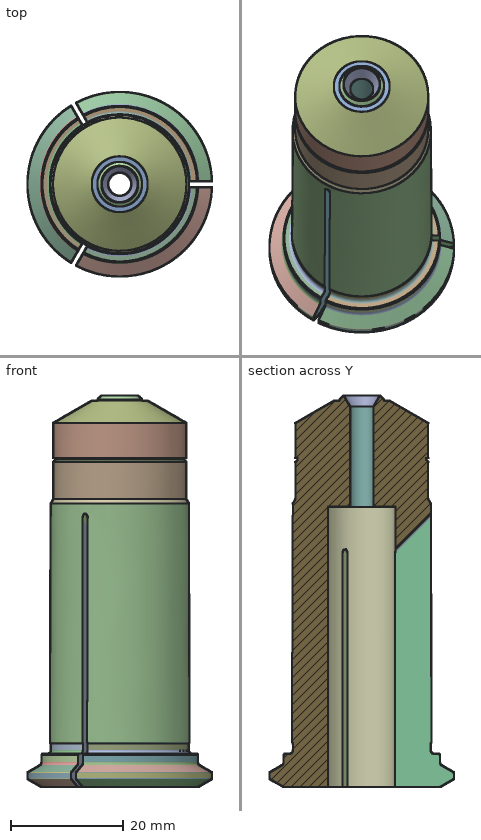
import cadquery as cq
import math

total_height = 69.9
flange_radius = 33.0 / 2

cone_angle = math.radians(30)
flange_base_radius = 14.05
rim_bottom_z = (flange_radius - flange_base_radius) * math.tan(cone_angle)
rim_height = 1.2
rim_top_z = rim_bottom_z + rim_height
rim_fillet = 0.2

collar_radius = 14.0
collar_bottom_z = rim_top_z + (flange_radius - collar_radius) * math.tan(cone_angle)
collar_top_z = 5.95
collar_bottom_fillet = 0.6
collar_top_chamfer = 0.2

neck_radius = 12.35
neck_fillet = 0.6
neck_top_z = 7.75

body_bottom_z = 8.0
body_bottom_radius = 12.5
body_bottom_fillet = 0.12
body_top_z = 50.6
body_top_radius = 12.37

head_radius = 23.8 / 2
head_bottom_z = 51.4
groove_bottom_z = 58.05
groove_top_z = 58.7
groove_depth = 0.4
head_shoulder_z = 65.0
head_top_radius = 5.0
head_top_z = head_shoulder_z + (head_radius - head_top_radius) * math.tan(cone_angle)

nose_radius = 8.0 / 2
nose_chamfer = 0.7

bore_radius = 12.0 / 2
bore_depth = 50.0
through_hole_radius = 4.1 / 2
countersink_radius = 3.2
countersink_half_angle = math.radians(30)
countersink_depth = (countersink_radius - through_hole_radius) / math.tan(countersink_half_angle)

slot_count = 3
slot_width = 1.0
slot_top_z = 48.8
slot_end_angle = math.radians(45)
slot_inner_radius = bore_radius / 2
cut_margin = 1.0


def revolved(profile):
    """Turn a radius-height profile around the Z axis."""
    return profile.close().revolve(360, (0, 0, 0), (0, 1, 0))


def ring(radius, height):
    """Selector for the circular edge of a given radius at a given height."""
    tolerance = 0.01
    reach = radius + tolerance
    return cq.selectors.BoxSelector(
        (-reach, -reach, height - tolerance),
        (reach, reach, height + tolerance),
        boundingbox=True,
    ) - cq.selectors.BoxSelector(
        (-radius + tolerance, -radius + tolerance, height - tolerance),
        (radius - tolerance, radius - tolerance, height + tolerance),
        boundingbox=True,
    )


def make_flange():
    profile = (
        cq.Workplane("XZ")
        .moveTo(0, 0)
        .lineTo(flange_base_radius, 0)
        .lineTo(flange_radius, rim_bottom_z)
        .lineTo(flange_radius, rim_top_z)
        .lineTo(collar_radius, collar_bottom_z)
        .lineTo(collar_radius, collar_top_z)
        .lineTo(neck_radius, collar_top_z)
        .lineTo(neck_radius, neck_top_z)
        .lineTo(0, neck_top_z)
    )
    flange = revolved(profile)
    flange = flange.edges(ring(flange_radius, rim_bottom_z)).fillet(rim_fillet)
    flange = flange.edges(ring(flange_radius, rim_top_z)).fillet(rim_fillet)
    flange = flange.edges(ring(collar_radius, collar_bottom_z)).fillet(collar_bottom_fillet)
    flange = flange.edges(ring(collar_radius, collar_top_z)).chamfer(collar_top_chamfer)
    return flange.edges(ring(neck_radius, collar_top_z)).fillet(neck_fillet)


def make_body_and_head():
    profile = (
        cq.Workplane("XZ")
        .moveTo(0, neck_top_z)
        .lineTo(neck_radius, neck_top_z)
        .lineTo(body_bottom_radius, body_bottom_z)
        .lineTo(body_top_radius, body_top_z)
        .lineTo(head_radius, head_bottom_z)
        .lineTo(head_radius, groove_bottom_z)
        .lineTo(head_radius - groove_depth, groove_bottom_z + groove_depth)
        .lineTo(head_radius - groove_depth, groove_top_z)
        .lineTo(head_radius, groove_top_z)
        .lineTo(head_radius, head_shoulder_z)
        .lineTo(head_top_radius, head_top_z)
        .lineTo(nose_radius, head_top_z)
        .lineTo(nose_radius, total_height - nose_chamfer)
        .lineTo(nose_radius - nose_chamfer, total_height)
        .lineTo(0, total_height)
    )
    body = revolved(profile)
    return body.edges(ring(body_bottom_radius, body_bottom_z)).fillet(body_bottom_fillet)


def make_axial_hole():
    profile = (
        cq.Workplane("XZ")
        .moveTo(0, 0)
        .lineTo(bore_radius, 0)
        .lineTo(bore_radius, bore_depth)
        .lineTo(through_hole_radius, bore_depth)
        .lineTo(through_hole_radius, total_height - countersink_depth)
        .lineTo(countersink_radius, total_height)
        .lineTo(0, total_height)
    )
    return revolved(profile)


def make_slot():
    """One slot along +X whose sloped end is half-round across its width."""
    slope = math.tan(slot_end_angle)
    outer_radius = flange_radius + cut_margin
    round_rise = slot_width / 2 / math.cos(slot_end_angle)
    axis_z_at_body = slot_top_z - round_rise
    inner_z = axis_z_at_body - (body_top_radius - slot_inner_radius) * slope
    outer_z = axis_z_at_body + (outer_radius - body_top_radius) * slope
    flat_part = (
        cq.Workplane("XZ")
        .moveTo(slot_inner_radius, -cut_margin)
        .lineTo(outer_radius, -cut_margin)
        .lineTo(outer_radius, outer_z)
        .lineTo(slot_inner_radius, inner_z)
        .close()
        .extrude(slot_width / 2, both=True)
    )
    run = outer_radius - slot_inner_radius
    round_end = cq.Workplane(
        cq.Solid.makeCylinder(
            slot_width / 2,
            run / math.cos(slot_end_angle),
            cq.Vector(slot_inner_radius, 0, inner_z),
            cq.Vector(math.cos(slot_end_angle), 0, math.sin(slot_end_angle)),
        )
    )
    return flat_part.union(round_end)


result = make_flange().union(make_body_and_head()).cut(make_axial_hole())
slot = make_slot()
for index in range(slot_count):
    result = result.cut(slot.rotate((0, 0, 0), (0, 0, 1), index * 360 / slot_count))